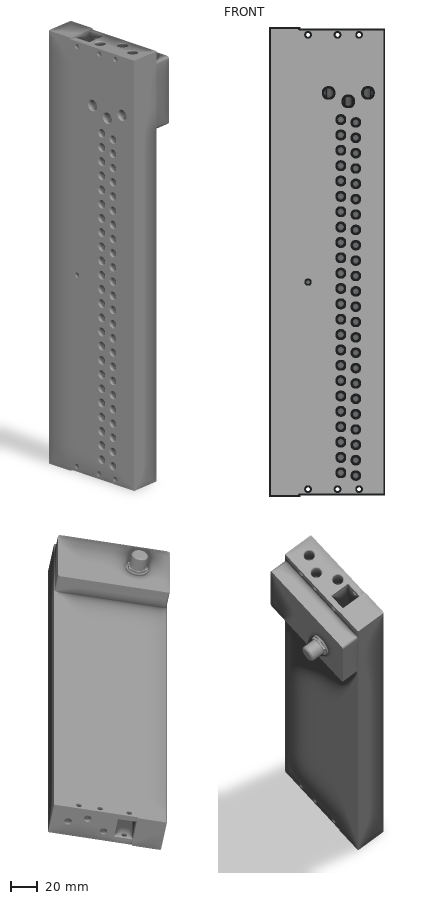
import cadquery as cq

UPWARD = (0, 0, 1)
DOWNWARD = (0, 0, -1)
BACKWARD = (0, 1, 0)

width = 86.0
length = 351.0
body_depth = 25.3

rail_width = 22.5
block_setback = 1.12
rail_edge_chamfer = 0.63

channel_width = 14.0
channel_front = 5.0
channel_back = 21.0

galleries = [
    (44.2, 8.5, 302.2, 45.3, 8.0),
    (59.0, 17.2, 296.0, 59.0, 17.2),
    (73.7, 12.0, 302.2, 73.0, 12.3),
]
gallery_diameter = 5.5
port_rim_diameter = 9.0
end_port_depth = 14.0

rim_chamfer = 0.53

outlet_columns = [
    (53.5, 17.5, 7.0),
    (64.5, 15.5, 6.5),
]
outlet_rows = 24
outlet_last_offset = 264.5
outlet_pitch = outlet_last_offset / (outlet_rows - 1)
outlet_depth = 5.3

screw_hole_xs = [28.8, 51.0, 67.0]
screw_hole_end_distance = 5.3
screw_hole_diameter = 4.2
center_hole_z = 160.5
center_hole_depth = 3.5

box_depth = 14.5
box_bottom = 286.0
box_top = 341.0
box_corner_radius = 2.0
box_side_inset = 0.5
box_back = body_depth + box_depth

plug_x = 25.5
plug_z = 310.5
plug_tip = 53.7
flange_diameter = 17.0
flange_thickness = 1.5
nut_across_corners = 15.8
nut_thickness = 3.0
nut_turn_degrees = 6
barrel_diameter = 12.5
barrel_chamfer = 1.0
barrel_length = plug_tip - box_back


def block(x_range, y_range, z_range):
    """Axis-aligned box between the given limits."""
    spans = [high - low for low, high in (x_range, y_range, z_range)]
    corner = (x_range[0], y_range[0], z_range[0])
    return cq.Workplane("XY").box(*spans, centered=False).translate(corner)


def rod(start, direction, diameter, reach):
    """Cylinder that reaches from the start point along the direction."""
    return cq.Workplane(cq.Solid.makeCylinder(diameter / 2, reach, cq.Vector(*start), cq.Vector(*direction)))


def countersunk_hole(rim_center, inward, rim_diameter, depth):
    """Blind hole cutter whose rim is widened by the countersink."""
    rim_radius = rim_diameter / 2
    bore_radius = rim_radius - rim_chamfer
    origin = cq.Vector(*rim_center)
    direction = cq.Vector(*inward)
    bore = cq.Solid.makeCylinder(bore_radius, depth, origin, direction)
    countersink = cq.Solid.makeCone(rim_radius, bore_radius, rim_chamfer, origin, direction)
    return cq.Workplane(bore).union(cq.Workplane(countersink))


def make_body():
    rail = block((0, rail_width), (0, body_depth), (0, length))
    rail = rail.edges("|Z").chamfer(rail_edge_chamfer)
    block_left = rail_width - rail_edge_chamfer
    drilled = block((block_left, width), (0, body_depth), (block_setback, length - block_setback))
    channel = block((rail_width, rail_width + channel_width), (channel_front, channel_back), (0, length))
    return rail.union(drilled).cut(channel)


def cut_galleries(body):
    block_top = length - block_setback
    for port_x, port_y, port_z, gallery_x, gallery_y in galleries:
        body = body.cut(rod((gallery_x, gallery_y, 0), UPWARD, gallery_diameter, length))
        end_port_center = (port_x, port_y, block_top)
        face_port_center = (port_x, 0, port_z)
        body = body.cut(countersunk_hole(end_port_center, DOWNWARD, port_rim_diameter, end_port_depth))
        body = body.cut(countersunk_hole(face_port_center, BACKWARD, port_rim_diameter, gallery_y))
    return body


def cut_outlets(body):
    for x, lowest_z, rim_diameter in outlet_columns:
        for row in range(outlet_rows):
            z = lowest_z + row * outlet_pitch
            body = body.cut(countersunk_hole((x, 0, z), BACKWARD, rim_diameter, outlet_depth))
    return body


def cut_screw_holes(body):
    for x in screw_hole_xs:
        for z in (screw_hole_end_distance, length - screw_hole_end_distance):
            body = body.cut(rod((x, 0, z), BACKWARD, screw_hole_diameter, body_depth))
    center_hole_start = (screw_hole_xs[0], 0, center_hole_z)
    return body.cut(rod(center_hole_start, BACKWARD, screw_hole_diameter, center_hole_depth))


def make_connector():
    box = block((box_side_inset, width - box_side_inset), (body_depth, box_back), (box_bottom, box_top))
    box = box.edges("|Y").fillet(box_corner_radius)
    flange = rod((plug_x, box_back, plug_z), BACKWARD, flange_diameter, flange_thickness)
    nut_start = cq.Plane(origin=(plug_x, box_back, plug_z), xDir=(0, 0, 1), normal=(0, 1, 0))
    nut = cq.Workplane(nut_start).polygon(6, nut_across_corners).extrude(nut_thickness)
    nut = nut.rotate((plug_x, 0, plug_z), (plug_x, 1, plug_z), nut_turn_degrees)
    barrel = rod((plug_x, box_back, plug_z), BACKWARD, barrel_diameter, barrel_length)
    barrel = barrel.faces(">Y").chamfer(barrel_chamfer)
    return box.union(flange).union(nut).union(barrel)


body = make_body()
body = cut_galleries(body)
body = cut_outlets(body)
body = cut_screw_holes(body)
result = body.union(make_connector())